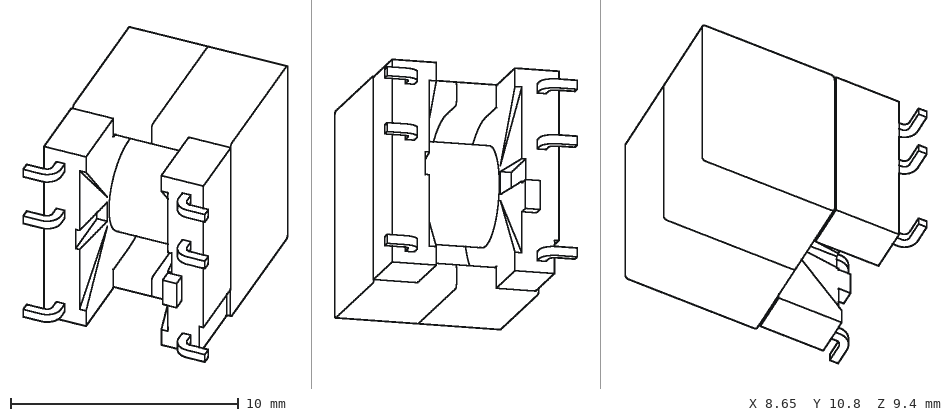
import cadquery as cq


back_y = 5.38
foot_y = -5.38

core_width = 7.5
core_depth = 6.5
core_height = 9.4
edge_radius = 0.19
cavity_radius = 3.6
cavity_length = 5.01
core_front_y = back_y - core_depth

drum_radius = 2.25
drum_axis_y = 0.56
former_width = 7.59
former_height = 9.2
cheek_gap = 3.58
block_gap = 0.05
pin_drop = 1.1
block_back_y = core_front_y - block_gap
block_front_y = foot_y + pin_drop
cheek_x = cheek_gap / 2
former_side_x = former_width / 2

exit_length = 2.41
exit_depth = 0.31
exit_inner_height = 1.59
exit_outer_height = 7.52
slot_depth = 0.49
slot_height = 1.03
exit_start_y = block_front_y + exit_length

peg_width = 0.67
peg_height = 1.31
peg_length = 0.59
peg_top_z = -0.59
notch_depth = 0.2
notch_top_z = -3.09

pin_thickness = 0.41
pin_span = 8.65
leg_inner_x = 2.8
bend_outer_radius = 0.67
pin_pitch = 2.54
lowest_pin_z = -3.87
pin_steps = (0, 2, 3)


def box_between(x_range, y_range, z_range):
    """Box spanning the given (low, high) ranges."""
    size = [high - low for low, high in (x_range, y_range, z_range)]
    corner = (x_range[0], y_range[0], z_range[0])
    return cq.Workplane("XY").box(*size, centered=False).translate(corner)


def cavity_prism(front_y, start_x, length):
    """Prism along X with the cavity outline: a half circle at the back, straight sides to front_y."""
    return (
        cq.Workplane("YZ", origin=(start_x, 0, 0))
        .moveTo(front_y, -cavity_radius)
        .lineTo(drum_axis_y, -cavity_radius)
        .threePointArc((drum_axis_y + cavity_radius, 0), (drum_axis_y, cavity_radius))
        .lineTo(front_y, cavity_radius)
        .close()
        .extrude(length)
    )


def make_core_half():
    """Half core on the +X side, its mating face at X = 0."""
    half_height = core_height / 2
    half = box_between((0, core_width / 2), (core_front_y, back_y), (-half_height, half_height))
    half = half.cut(cavity_prism(core_front_y, 0, cavity_length / 2))
    half = half.faces(">Y").edges("|X").fillet(edge_radius)
    return half.faces("<Y").edges("|X").fillet(edge_radius)


def make_wire_exit():
    """Cutter for the +X block: a recess that widens and deepens toward the front."""
    flare = (
        cq.Workplane("YZ", origin=(cheek_x, 0, 0))
        .moveTo(exit_start_y, -exit_inner_height / 2)
        .lineTo(exit_start_y, exit_inner_height / 2)
        .lineTo(block_front_y, exit_outer_height / 2)
        .lineTo(block_front_y, -exit_outer_height / 2)
        .close()
        .extrude(exit_depth)
    )
    slope = (
        cq.Workplane("XY", origin=(0, 0, -exit_outer_height / 2))
        .moveTo(cheek_x, exit_start_y)
        .lineTo(cheek_x, block_front_y)
        .lineTo(cheek_x + exit_depth, block_front_y)
        .close()
        .extrude(exit_outer_height)
    )
    slot = box_between(
        (cheek_x, cheek_x + slot_depth),
        (block_front_y, exit_start_y),
        (-slot_height / 2, slot_height / 2),
    )
    return flare.intersect(slope).union(slot)


def make_former_side():
    """Cheek inside the core cavity and the pin block in front of it, on the +X side."""
    half_height = former_height / 2
    cheek = cavity_prism(block_back_y, cheek_x, cavity_length / 2 - cheek_x)
    block = box_between(
        (cheek_x, former_side_x), (block_front_y, block_back_y), (-half_height, half_height)
    )
    return block.union(cheek).cut(make_wire_exit())


def make_former():
    """Coil former: winding drum, two sides, locating peg and corner notch."""
    drum = (
        cq.Workplane("YZ", origin=(-cheek_x, 0, 0))
        .center(drum_axis_y, 0)
        .circle(drum_radius)
        .extrude(cheek_gap)
    )
    side = make_former_side()
    peg_x = cheek_x + exit_depth
    peg = box_between(
        (peg_x, peg_x + peg_width),
        (block_front_y - peg_length, block_front_y),
        (peg_top_z - peg_height, peg_top_z),
    )
    notch = box_between(
        (former_side_x - notch_depth, former_side_x),
        (block_front_y, block_back_y),
        (-former_height / 2, notch_top_z),
    )
    return drum.union(side).union(side.mirror("YZ")).union(peg).cut(notch)


def make_pin():
    """Gull-wing pin for the +X side, centred on Z = 0: a leg, a bend and a foot toward +X."""
    centre_line_radius = bend_outer_radius - pin_thickness / 2
    leg_x = leg_inner_x + pin_thickness / 2
    foot_line_y = foot_y + pin_thickness / 2
    path = (
        cq.Workplane("XY")
        .moveTo(leg_x, block_front_y)
        .lineTo(leg_x, foot_line_y + centre_line_radius)
        .radiusArc((leg_x + centre_line_radius, foot_line_y), -centre_line_radius)
        .lineTo(pin_span / 2, foot_line_y)
    )
    section = cq.Workplane("XZ", origin=(leg_x, block_front_y, 0)).rect(pin_thickness, pin_thickness)
    return section.sweep(path)


core_half = make_core_half()
core_halves = [core_half, core_half.mirror("YZ")]

former = make_former()

pin = make_pin()
pins = []
for step in pin_steps:
    placed_pin = pin.translate((0, 0, lowest_pin_z + step * pin_pitch))
    pins.append(placed_pin)
    pins.append(placed_pin.mirror("YZ"))

result = cq.Compound.makeCompound([body.val() for body in [*core_halves, former, *pins]])